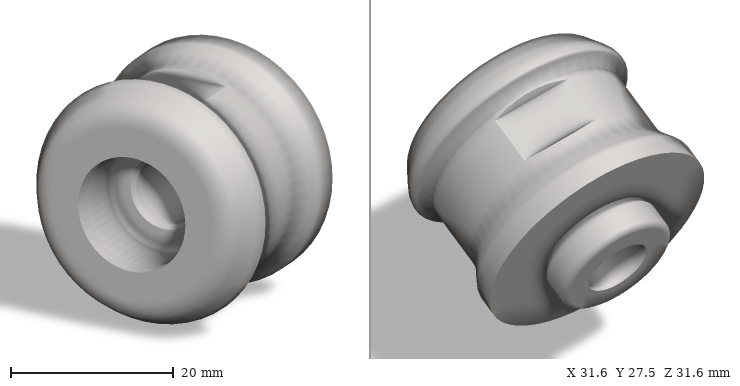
import cadquery as cq
import math

total_length = 27.5
flange_back = 22.75
bead_radius = 15.8
flange_radius = 31.5 / 2
neck_radius = 28.0 / 2
neck_front, neck_back = 7.15, 15.45
cone_angle = math.radians(30)

bead_round = 3.0
front_face_radius = 11.47
bead_crest = 5.28
bead_back_round = 0.5
bead_back_turn = math.radians(70)

flare_fillet = 5.0
flange_round = 1.33

spigot_radius = 16.0 / 2
spigot_end_round = 0.85
undercut_radius = 7.6
undercut_width = 0.32

bore_radius = 15.0 / 2
bore_depth = 8.5
bore_fillet = 0.8
hole_radius = 8.5 / 2
hole_rim_radius = 9.57 / 2

flat_height = 12.95
flat_front, flat_back = 7.93, 14.5
flat_clearance = 0.03


def on_arc(center, radius, angle):
    """Point (radius, Y) on an arc; the angle runs from radially outward toward +Y."""
    return (center[0] + radius * math.cos(angle), center[1] + radius * math.sin(angle))


def outer_body():
    front_center = (front_face_radius, bead_round)
    crest_center = (bead_radius - bead_round, bead_crest)
    back_center = (bead_radius - bead_back_round, bead_crest)
    bead_back_end = on_arc(back_center, bead_back_round, bead_back_turn)
    flare_center = (neck_radius + flare_fillet, neck_back)
    flare_end = on_arc(flare_center, flare_fillet, math.pi - cone_angle)

    flange_cone_radius = flange_radius - flange_round * (1 - math.cos(cone_angle))
    flange_cone_end = flare_end[1] + (flange_cone_radius - flare_end[0]) / math.tan(cone_angle)
    flange_center = (flange_radius - flange_round, flange_cone_end + flange_round * math.sin(cone_angle))

    undercut_end = flange_back + undercut_width
    undercut_cone_end = undercut_end + (spigot_radius - undercut_radius) / math.tan(cone_angle)
    spigot_center = (spigot_radius - spigot_end_round, total_length - spigot_end_round)

    return (
        cq.Workplane("XY")
        .lineTo(front_face_radius, 0)
        .threePointArc(on_arc(front_center, bead_round, -math.radians(60)),
                       on_arc(front_center, bead_round, -cone_angle))
        .lineTo(*on_arc(crest_center, bead_round, -cone_angle))
        .threePointArc(on_arc(crest_center, bead_round, -cone_angle / 2), (bead_radius, bead_crest))
        .threePointArc(on_arc(back_center, bead_back_round, bead_back_turn / 2), bead_back_end)
        .tangentArcPoint((neck_radius, neck_front), relative=False)
        .lineTo(neck_radius, neck_back)
        .threePointArc(on_arc(flare_center, flare_fillet, math.pi - cone_angle / 2), flare_end)
        .lineTo(flange_cone_radius, flange_cone_end)
        .threePointArc(on_arc(flange_center, flange_round, -cone_angle / 2),
                       (flange_radius, flange_center[1]))
        .lineTo(flange_radius, flange_back)
        .lineTo(undercut_radius, flange_back)
        .lineTo(undercut_radius, undercut_end)
        .lineTo(spigot_radius, undercut_cone_end)
        .lineTo(spigot_radius, spigot_center[1])
        .threePointArc(on_arc(spigot_center, spigot_end_round, math.radians(45)),
                       (spigot_center[0], total_length))
        .lineTo(0, total_length)
        .close()
        .revolve(360, (0, 0), (0, 1))
    )


def stepped_bore():
    """Blind bore with a filleted floor, then a chamfered through hole."""
    fillet_center = (bore_radius - bore_fillet, bore_depth - bore_fillet)
    rim_chamfer = hole_rim_radius - hole_radius
    return (
        cq.Workplane("XY")
        .lineTo(bore_radius, 0)
        .lineTo(bore_radius, fillet_center[1])
        .threePointArc(on_arc(fillet_center, bore_fillet, math.radians(45)),
                       (fillet_center[0], bore_depth))
        .lineTo(hole_rim_radius, bore_depth)
        .lineTo(hole_radius, bore_depth + rim_chamfer)
        .lineTo(hole_radius, total_length)
        .lineTo(0, total_length)
        .close()
        .revolve(360, (0, 0), (0, 1))
    )


def wrench_flat(side):
    """Cutter for one flat with sloping end walls; side is +1 (top) or -1 (bottom)."""
    cutter_top = neck_radius + flat_clearance
    slope_run = (cutter_top - flat_height) * math.tan(cone_angle)
    return (
        cq.Workplane("YZ")
        .moveTo(flat_front, side * flat_height)
        .lineTo(flat_back, side * flat_height)
        .lineTo(flat_back + slope_run, side * cutter_top)
        .lineTo(flat_front - slope_run, side * cutter_top)
        .close()
        .extrude(neck_radius, both=True)
    )


result = outer_body().cut(stepped_bore())
for side in (1, -1):
    result = result.cut(wrench_flat(side))